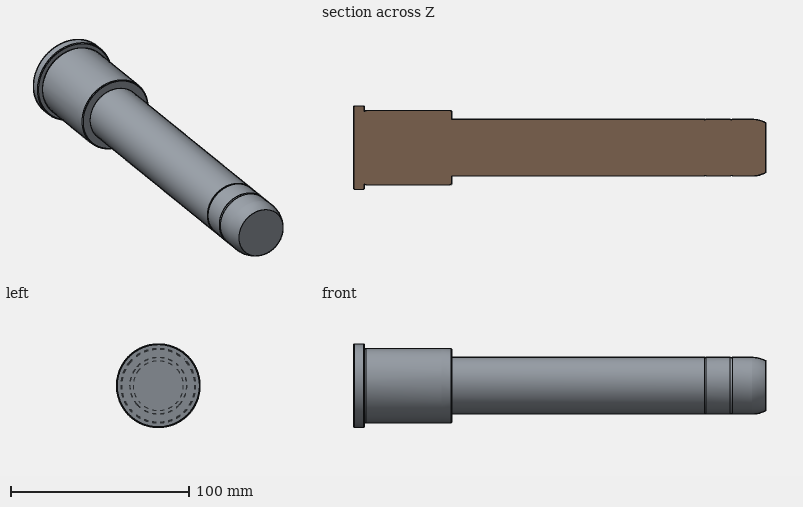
import cadquery as cq
import math

total_length = 231.0
flange_thickness = 6.0
head_end = 55.0
lead_in_length = 5.5

flange_diameter = 47.0
head_diameter = 42.0
shaft_diameter = 32.0

relief_width = 1.0
relief_depth = 0.5

lead_in_depth = 0.1
head_chamfer = 0.5

flange_chamfer = 0.5

nose_length = 7.5
nose_drop = 2.0

shaft_grooves = ((197.0, 0.8), (211.7, 1.4))
groove_depth = 0.2

flange_radius = flange_diameter / 2
head_radius = head_diameter / 2
shaft_radius = shaft_diameter / 2


def make_body():
    """Revolve the stepped half profile about the X axis."""
    relief_radius = head_radius - relief_depth
    lead_in_radius = head_radius - lead_in_depth
    relief_end = flange_thickness + relief_width
    nose_start = total_length - nose_length
    nose_radius = (nose_length**2 + nose_drop**2) / (2 * nose_drop)
    half_angle = math.asin(nose_length / nose_radius) / 2
    nose_middle = (
        nose_start + nose_radius * math.sin(half_angle),
        shaft_radius - nose_radius * (1 - math.cos(half_angle)),
    )
    profile = (
        cq.Workplane("XY")
        .moveTo(0, 0)
        .lineTo(0, flange_radius - flange_chamfer)
        .lineTo(flange_chamfer, flange_radius)
        .lineTo(flange_thickness - flange_chamfer, flange_radius)
        .lineTo(flange_thickness, flange_radius - flange_chamfer)
        .lineTo(flange_thickness, relief_radius)
        .lineTo(relief_end, head_radius)
        .lineTo(head_end - lead_in_length, head_radius)
        .lineTo(head_end - head_chamfer, lead_in_radius)
        .lineTo(head_end, lead_in_radius - head_chamfer)
        .lineTo(head_end, shaft_radius)
        .lineTo(nose_start, shaft_radius)
        .threePointArc(nose_middle, (total_length, shaft_radius - nose_drop))
        .lineTo(total_length, 0)
        .close()
    )
    return profile.revolve(360, (0, 0, 0), (1, 0, 0))


def make_groove(center, width):
    """Ring with an arc section that cuts a shallow groove into the shaft surface."""
    profile = (
        cq.Workplane("XY")
        .moveTo(center - width / 2, shaft_radius)
        .threePointArc(
            (center, shaft_radius - groove_depth),
            (center + width / 2, shaft_radius),
        )
        .close()
    )
    return profile.revolve(360, (0, 0, 0), (1, 0, 0))


result = make_body()
for groove_center, groove_width in shaft_grooves:
    result = result.cut(make_groove(groove_center, groove_width))